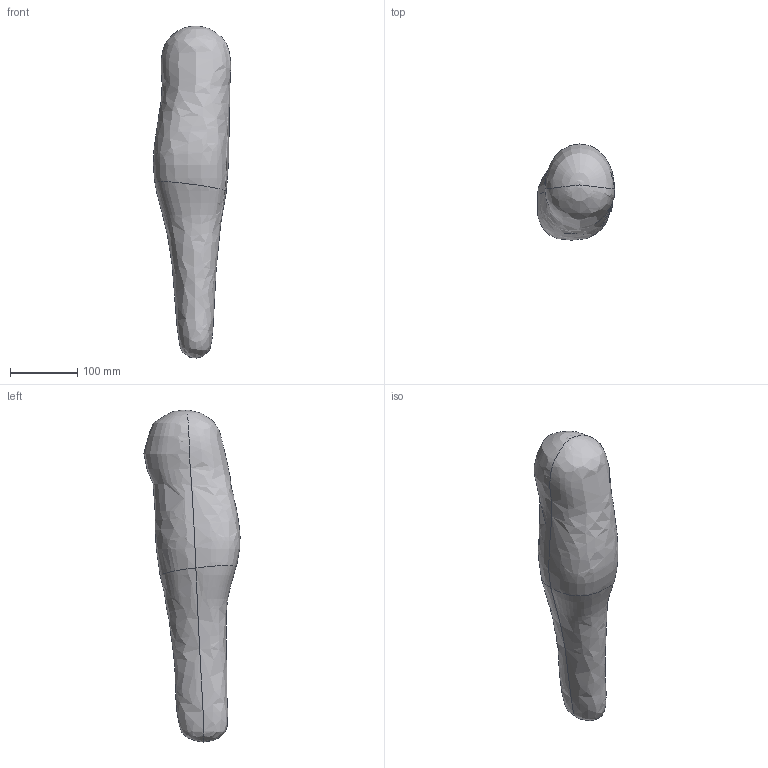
import math

import cadquery as cq

HEIGHT = 494.1
LEFT_LIMIT = -57.7
RIGHT_LIMIT = 56.7
FRONT_LIMIT = -70.1
BACK_LIMIT = 71.4

BOTTOM_DOME_HEIGHT = 24.0
BOTTOM_TIP = (4.5, -16.0)
TOP_DOME_HEIGHT = 50.0
TOP_TIP = (4.5, 11.0)
DOME_ANGLES = (25, 45, 62, 75, 84)

BACK_EXPONENT = 2.05
POINTS_PER_HALF = 13

JOINT_HEIGHT = 252.0
JOINT_SLOPE_X = -0.12
JOINT_SLOPE_Y = -0.1
JOINT_PLANE_SIZE = 400.0

SECTIONS = [
    (BOTTOM_DOME_HEIGHT, -19.8, 28.6, -52.0, 19.4, -17.0, -0.02, 2.1),
    (75.0, -25.2, 32.2, -51.2, 25.0, -14.0, -0.02, 2.1),
    (134.0, -29.8, 35.6, -50.7, 28.6, -11.0, 0.0, 2.1),
    (182.0, -37.0, 40.2, -50.3, 35.6, -8.5, 0.02, 2.2),
    (218.0, -45.6, 45.0, -53.5, 41.8, -7.0, 0.04, 2.3),
    (250.0, -53.5, 50.9, -62.0, 48.5, -5.5, 0.07, 2.6),
    (285.0, LEFT_LIMIT, 53.7, FRONT_LIMIT, 53.5, -4.0, 0.08, 2.6),
    (337.0, -53.3, 54.8, -67.2, 55.8, -1.5, 0.07, 2.5),
    (380.0, -46.8, 55.2, -59.0, 57.3, 1.0, 0.04, 2.2),
    (400.0, -45.0, 55.6, -55.0, 65.0, 2.5, 0.02, 2.0),
    (418.0, -45.8, 56.6, -51.2, BACK_LIMIT, 4.0, 0.0, 2.0),
    (HEIGHT - TOP_DOME_HEIGHT, -46.5, RIGHT_LIMIT, -45.0, 69.0, 5.0, 0.0, 2.0),
]


def half_outline(left, right, reach, seam, lean, exponent, height):
    """Points of a half superellipse from the left seam to the right seam, out to Y = reach."""
    middle = (left + right) / 2
    half_width = (right - left) / 2
    points = []
    for index in range(POINTS_PER_HALF):
        angle = math.pi * index / (POINTS_PER_HALF - 1)
        cosine = math.cos(angle)
        across = math.copysign(abs(cosine) ** (2 / exponent), cosine)
        outward = abs(math.sin(angle)) ** (2 / exponent)
        depth = (reach - seam) * outward
        points.append(cq.Vector(middle - half_width * across + lean * depth, seam + depth, height))
    return points


def section_wire(height, left, right, front, back, seam, lean, front_exponent):
    """Closed cross-section made of a front curve and a back curve, tangent to each other at the seams."""
    forward = cq.Vector(-lean, -1, 0)
    backward = cq.Vector(lean, 1, 0)
    front_points = half_outline(left, right, front, seam, lean, front_exponent, height)
    back_points = half_outline(left, right, back, seam, lean, BACK_EXPONENT, height)
    steps = [index / (POINTS_PER_HALF - 1) for index in range(POINTS_PER_HALF)]
    front_edge = cq.Edge.makeSpline(front_points, tangents=[forward, backward], parameters=steps)
    back_edge = cq.Edge.makeSpline(back_points[::-1], tangents=[backward, forward], parameters=steps)
    return cq.Wire.assembleEdges([front_edge, back_edge])


def dome_sections(base_section, dome_height, tip):
    """Sections of a dome that shrink from the base section toward the tip along a quarter ellipse."""
    base_height, left, right, front, back, seam, lean, front_exponent = base_section
    tip_x, tip_y = tip
    sections = []
    for degrees in DOME_ANGLES:
        scale = math.cos(math.radians(degrees))
        height = base_height + dome_height * math.sin(math.radians(degrees))
        x_limits = [tip_x + (x - tip_x) * scale for x in (left, right)]
        y_limits = [tip_y + (y - tip_y) * scale for y in (front, back, seam)]
        sections.append((height, *x_limits, *y_limits, lean, front_exponent))
    return sections


def limb():
    """Smooth loft through every section, closed to a point at both tips."""
    bottom_dome = dome_sections(SECTIONS[0], -BOTTOM_DOME_HEIGHT, BOTTOM_TIP)
    top_dome = dome_sections(SECTIONS[-1], TOP_DOME_HEIGHT, TOP_TIP)
    wires = [section_wire(*section) for section in bottom_dome[::-1] + SECTIONS + top_dome]
    bottom_point = cq.Vertex.makeVertex(*BOTTOM_TIP, 0)
    top_point = cq.Vertex.makeVertex(*TOP_TIP, HEIGHT)
    return cq.occ_impl.shapes.loft([bottom_point, *wires, top_point], cap=True, parametrization="chordal")


def divide_at_joint(body):
    """Divide the faces along the tilted joint line while keeping one solid."""
    normal = cq.Vector(-JOINT_SLOPE_X, -JOINT_SLOPE_Y, 1)
    joint = cq.Face.makePlane(JOINT_PLANE_SIZE, JOINT_PLANE_SIZE, (0, 0, JOINT_HEIGHT), normal)
    lower, upper = body.split(joint).Solids()
    return lower.fuse(upper).Solids()[0]


result = cq.Workplane(obj=divide_at_joint(limb()))